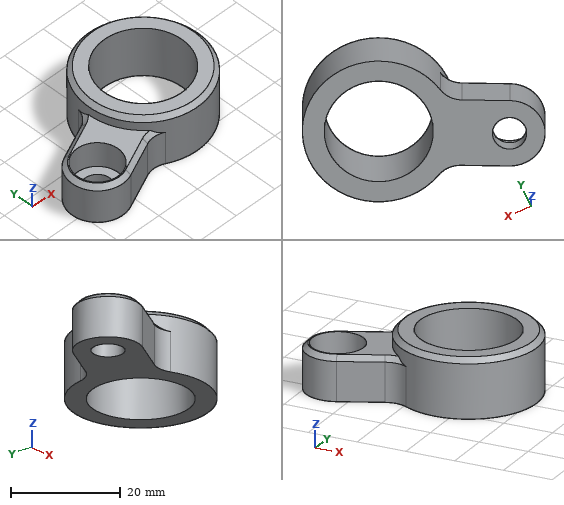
import cadquery as cq
import math

ring_radius = 14.0
bore_radius = 10.0
ring_height = 12.0

lug_x = -21.8
lug_y = -10.0
lug_radius = 6.5
lug_height = 9.0
screw_hole_radius = 3.15
counterbore_radius = 5.25
counterbore_depth = 6.0

blend_radius = 5.0
chamfer = 1.0

arm_length = math.hypot(lug_x, lug_y)
arm_angle = math.degrees(math.atan2(-lug_y, -lug_x))

blend_y = lug_radius + blend_radius
center_distance = ring_radius + blend_radius
blend_x = arm_length - math.sqrt(center_distance**2 - blend_y**2)
ring_share = ring_radius / center_distance
contact_x = arm_length + (blend_x - arm_length) * ring_share
contact_y = blend_y * ring_share

end_angle = math.atan2(contact_y - blend_y, contact_x - blend_x)
middle_angle = (end_angle - math.pi / 2) / 2
middle_x = blend_x + blend_radius * math.cos(middle_angle)
middle_y = blend_y + blend_radius * math.sin(middle_angle)


def make_ring():
    return cq.Workplane("XY").circle(ring_radius).extrude(ring_height).faces(">Z").chamfer(chamfer)


def make_arm():
    """Round-ended arm with blended sides; its root closes at the ring centre."""
    outer_low = (-2 * lug_radius, -2 * lug_radius, 0)
    outer_high = (contact_x, 2 * lug_radius, 2 * lug_height)
    return (
        cq.Workplane("XY")
        .moveTo(arm_length, 0)
        .lineTo(contact_x, contact_y)
        .threePointArc((middle_x, middle_y), (blend_x, lug_radius))
        .lineTo(0, lug_radius)
        .threePointArc((-lug_radius, 0), (0, -lug_radius))
        .lineTo(blend_x, -lug_radius)
        .threePointArc((middle_x, -middle_y), (contact_x, -contact_y))
        .close()
        .extrude(lug_height)
        .faces(">Z")
        .edges(cq.selectors.BoxSelector(outer_low, outer_high))
        .chamfer(chamfer)
        .rotate((0, 0, 0), (0, 0, 1), arm_angle)
        .translate((lug_x, lug_y, 0))
    )


bore = cq.Workplane("XY").circle(bore_radius).extrude(ring_height)
screw_hole = cq.Workplane("XY").center(lug_x, lug_y).circle(screw_hole_radius).extrude(lug_height)
counterbore = (
    cq.Workplane("XY", origin=(lug_x, lug_y, lug_height - counterbore_depth))
    .circle(counterbore_radius)
    .extrude(counterbore_depth)
)

result = make_ring().union(make_arm()).cut(bore).cut(screw_hole).cut(counterbore)